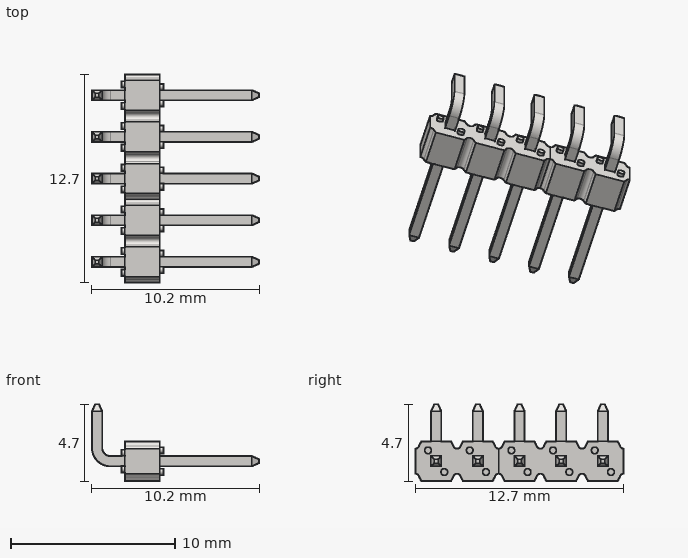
import cadquery as cq


pitch = 2.54
front_positions = 2
rear_positions = 3
positions = front_positions + rear_positions
row_start = -positions * pitch / 2
seam_y = row_start + front_positions * pitch

body_depth = 2.13
body_height = 2.43
groove_mouth = 0.72
groove_neck = 0.43
flank_depth = 0.28
groove_depth = 0.45

peg_diameter = 0.41
peg_length = 0.22
peg_far = 0.66
peg_near = 0.5

pin_width = 0.64
tip_width = 0.23
tip_length = 0.45
bend_inner_radius = 0.5
tail_reach = 2.02
contact_reach = 6.05
overall_height = 4.7

half_depth = body_depth / 2
half_height = body_height / 2
half_pin = pin_width / 2
tail_x = half_pin - half_depth - tail_reach
contact_end_x = half_depth + contact_reach
tail_end_z = overall_height - half_height
bend_radius = bend_inner_radius + half_pin


def position_centers(start_y, count):
    """Y of each pin in a strip that starts at start_y."""
    return [start_y + i * pitch + pitch / 2 for i in range(count)]


def groove_cutter(y, side):
    """Groove across the strip at y, in the top (side = 1) or bottom (side = -1) face."""
    face_z = side * half_height
    neck_z = side * (half_height - flank_depth)
    floor_z = side * (half_height - groove_depth)
    return (
        cq.Workplane("YZ", origin=(-half_depth, 0, 0))
        .moveTo(y - groove_mouth / 2, face_z)
        .lineTo(y - groove_neck / 2, neck_z)
        .threePointArc((y, floor_z), (y + groove_neck / 2, neck_z))
        .lineTo(y + groove_mouth / 2, face_z)
        .close()
        .extrude(body_depth)
    )


def pegs(face_x, length, centers):
    """Round pegs standing on the face at face_x; a negative length points toward -X."""
    return (
        cq.Workplane("YZ", origin=(face_x, 0, 0))
        .pushPoints(centers)
        .circle(peg_diameter / 2)
        .extrude(length)
    )


def make_insulator(start_y, count):
    """Strip with grooves between positions, half grooves at its ends, pegs and square pin holes."""
    centers = position_centers(start_y, count)
    strip = cq.Workplane("XY").box(body_depth, count * pitch, body_height)
    strip = strip.translate((0, start_y + count * pitch / 2, 0))

    for i in range(count + 1):
        for side in (1, -1):
            strip = strip.cut(groove_cutter(start_y + i * pitch, side))

    for y in centers:
        tail_side = [(y + peg_far, peg_near), (y - peg_far, -peg_near)]
        contact_side = [(y + peg_near, -peg_far), (y - peg_near, peg_far)]
        strip = strip.union(pegs(-half_depth, -peg_length, tail_side))
        strip = strip.union(pegs(half_depth, peg_length, contact_side))

    for y in centers:
        pin_hole = cq.Workplane("XY").box(body_depth, pin_width, pin_width)
        strip = strip.cut(pin_hole.translate((0, y, 0)))
    return strip.solids()


def pin_tip(base_plane):
    """Square tip that narrows along the normal of base_plane."""
    return (
        cq.Workplane(base_plane)
        .rect(pin_width, pin_width)
        .workplane(offset=tip_length)
        .rect(tip_width, tip_width)
        .loft(ruled=True)
    )


def make_pin(y):
    """Square pin with an upright tail, a bend and a straight contact, pointed at both ends."""
    tail_tip_z = tail_end_z - tip_length
    contact_tip_x = contact_end_x - tip_length
    path = (
        cq.Workplane("XZ", origin=(0, y, 0))
        .moveTo(contact_tip_x, 0)
        .lineTo(tail_x + bend_radius, 0)
        .radiusArc((tail_x, bend_radius), bend_radius)
        .lineTo(tail_x, tail_tip_z)
    )
    shaft = cq.Workplane("YZ", origin=(contact_tip_x, y, 0)).rect(pin_width, pin_width).sweep(path)
    tail_tip = pin_tip(cq.Plane.XY(origin=(tail_x, y, tail_tip_z)))
    contact_tip = pin_tip(cq.Plane.YZ(origin=(contact_tip_x, y, 0)))
    return shaft.union(tail_tip).union(contact_tip).solids()


front_insulator = make_insulator(row_start, front_positions)
rear_insulator = make_insulator(seam_y, rear_positions)
pins = [make_pin(y) for y in position_centers(row_start, positions)]

result = cq.Compound.makeCompound(
    [front_insulator.val(), rear_insulator.val(), *[pin.val() for pin in pins]]
)